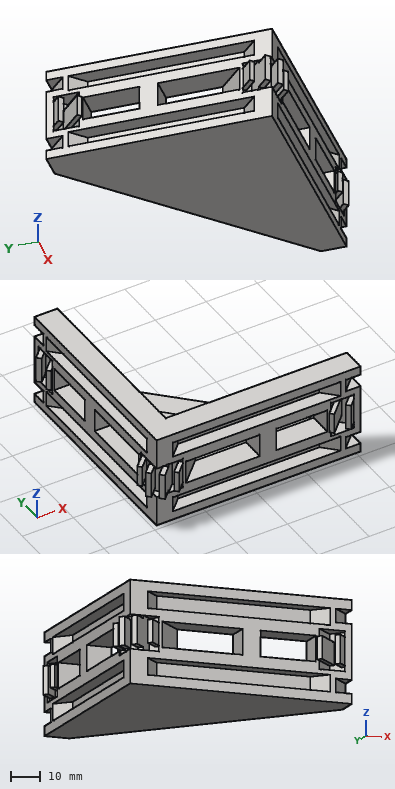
import cadquery as cq
import math

ROOT2 = math.sqrt(2)

leg_length = 80.0
leg_thickness = 9.0
height = 36.0
mid_height = height / 2

web_thickness = 6.0
rim = 3.5
corner_block_leg = 10.5

groove_start = 6.3
groove_end = 72.2
groove_depth = 5.2
groove_height = 5.9

notch_length = 5.9
notch_height = 4.8

window_height = 9.0
window_start = groove_start + groove_depth
window_end = groove_end - groove_depth
bar_start = 40.5
bar_end = 47.0

wide_strip_thickness = 2.0
narrow_strip_thickness = 1.75
wide_strip_height = 10.0
narrow_strip_height = 8.0

corner_reach = 5 / ROOT2
corner_pocket_height = 12.0
nose_half_width = 3.35
nose_depth = 3.35
corner_pocket_edge = 7.25
corner_pocket_floor = 8.4

end_reach = 3.5 / ROOT2
end_pocket_height = 14.0
end_pocket_near = 48.25
end_pocket_far = 54.7
end_pocket_floor = 56.7

diagonal_plane = cq.Plane(origin=(0, 0, mid_height), xDir=(1, -1, 0), normal=(0, 0, 1))


def prism(points, bottom, tall):
    """Upright prism over an outline in X and Y."""
    return cq.Workplane("XY").workplane(offset=bottom).polyline(points).close().extrude(tall)


def diagonal_box(u_min, u_max, v_min, v_max, tall):
    """Box turned to the diagonal and centred at mid height."""
    box = cq.Workplane(diagonal_plane).center((u_min + u_max) / 2, (v_min + v_max) / 2)
    return box.rect(u_max - u_min, v_max - v_min).extrude(tall / 2, both=True)


def on_both_legs(shape):
    """The shape together with its mirror image about the plane x = y."""
    return [shape, shape.mirror((1, -1, 0))]


def strip(u_max, floor, reach, thickness, tall):
    """Latch strip from a pocket floor out to the given reach beyond the leg face."""
    tip = u_max - reach * ROOT2
    return diagonal_box(u_max - thickness, u_max, tip, floor, tall)


def inner_triangle(side, bottom, tall):
    """Right-angled triangular prism set into the inner corner of the legs."""
    far = leg_thickness + side
    corner = (leg_thickness, leg_thickness)
    return prism([corner, (far, leg_thickness), (leg_thickness, far)], bottom, tall)


def make_frame():
    """Both legs, the web across them and the block in the inner corner."""
    legs = prism(
        [
            (0, 0),
            (leg_length, 0),
            (leg_length, leg_thickness),
            (leg_thickness, leg_thickness),
            (leg_thickness, leg_length),
            (0, leg_length),
        ],
        0,
        height,
    )
    web = inner_triangle(leg_length - leg_thickness, 0, web_thickness)
    block = inner_triangle(corner_block_leg, 0, height - rim)
    return legs.union(web).union(block)


def make_grooves():
    """Lower and upper groove of the X leg."""
    outline = [
        (groove_start, 0),
        (groove_end, 0),
        (groove_end - groove_depth, groove_depth),
        (groove_start + groove_depth, groove_depth),
    ]
    bottoms = (rim, height - rim - groove_height)
    return [prism(outline, bottom, groove_height) for bottom in bottoms]


def make_notches():
    """Lower and upper end notch of the X leg."""
    outline = [
        (leg_length - notch_length, 0),
        (leg_length, 0),
        (leg_length, notch_length),
    ]
    bottoms = (rim, height - rim - notch_height)
    return [prism(outline, bottom, notch_height) for bottom in bottoms]


def make_windows():
    """Two windows through the X leg; the one by the corner has a slanted end."""
    bottom = mid_height - window_height / 2
    corner_window = [
        (window_start, 0),
        (bar_start, 0),
        (bar_start, leg_thickness),
        (window_start + leg_thickness, leg_thickness),
    ]
    end_window = [
        (bar_end, 0),
        (window_end, 0),
        (window_end, leg_thickness),
        (bar_end, leg_thickness),
    ]
    return [prism(outline, bottom, window_height) for outline in (corner_window, end_window)]


def make_pockets():
    """Latch pockets of the X leg, sunk along the diagonal."""
    corner_pocket = diagonal_box(
        nose_half_width, corner_pocket_edge, nose_half_width, corner_pocket_floor, corner_pocket_height
    )
    end_pocket = diagonal_box(
        end_pocket_near, end_pocket_far, end_pocket_near, end_pocket_floor, end_pocket_height
    )
    return [corner_pocket, end_pocket]


def make_strips():
    """Latch strips of the X leg, two at the corner and two at the free end."""
    near_edge = end_pocket_near + narrow_strip_thickness
    return [
        strip(nose_half_width, nose_depth, corner_reach, wide_strip_thickness, wide_strip_height),
        strip(corner_pocket_edge, corner_pocket_floor, corner_reach, narrow_strip_thickness, narrow_strip_height),
        strip(near_edge, end_pocket_floor, end_reach, narrow_strip_thickness, narrow_strip_height),
        strip(end_pocket_far, end_pocket_floor, end_reach, wide_strip_thickness, wide_strip_height),
    ]


result = make_frame()

result = result.cut(diagonal_box(-nose_half_width, nose_half_width, 0, nose_depth, corner_pocket_height))

for cutter in make_grooves() + make_notches() + make_windows() + make_pockets():
    for side in on_both_legs(cutter):
        result = result.cut(side)

for latch in make_strips():
    for side in on_both_legs(latch):
        result = result.union(side)